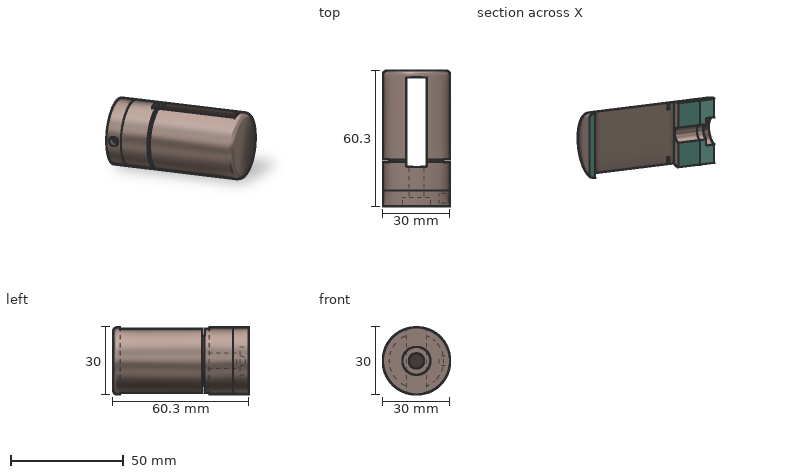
import cadquery as cq
import math

outer_diameter = 30.0
total_length = 60.34
cap_length = 7.0
rear_fillet = 2.0

counterbore_diameter = 12.5
counterbore_depth = 4.0
bore_diameter = 6.8

side_hole_diameter = 4.2
side_hole_depth = 5.0
side_hole_y = cap_length / 2

groove_diameter = 24.2
groove_width = 1.15
groove_start = 19.65

slot_width = 9.0
slot_front_tip = 17.45
rear_wall = 3.0
slot_rear_tip = total_length - rear_wall
slot_end_angle = 3.0


def disc(diameter, start, length):
    """Cylinder on the Y axis, from Y = start towards +Y."""
    return cq.Workplane("XZ", origin=(0, start, 0)).circle(diameter / 2).extrude(-length)


def side_hole():
    """Radial hole drilled inwards from the +X side of the cap."""
    return (
        cq.Workplane("YZ", origin=(outer_diameter / 2 - side_hole_depth, side_hole_y, 0))
        .circle(side_hole_diameter / 2)
        .extrude(side_hole_depth)
    )


def slot():
    """Six-sided slot whose two ends each come to a shallow point at X = 0."""
    half_width = slot_width / 2
    tip_height = half_width * math.tan(math.radians(slot_end_angle))
    front_corner = slot_front_tip + tip_height
    rear_corner = slot_rear_tip - tip_height
    return (
        cq.Workplane("XY")
        .moveTo(0, slot_front_tip)
        .lineTo(half_width, front_corner)
        .lineTo(half_width, rear_corner)
        .lineTo(0, slot_rear_tip)
        .lineTo(-half_width, rear_corner)
        .lineTo(-half_width, front_corner)
        .close()
        .extrude(outer_diameter / 2, both=True)
    )


def groove():
    """Ring of material removed around the barrel."""
    return disc(outer_diameter, groove_start, groove_width).cut(
        disc(groove_diameter, groove_start, groove_width)
    )


def make_cap():
    """Front disc with the counterbored bore and the side hole."""
    body = disc(outer_diameter, 0, cap_length)
    body = body.cut(disc(counterbore_diameter, 0, counterbore_depth))
    body = body.cut(disc(bore_diameter, 0, cap_length))
    return body.cut(side_hole())


def make_barrel():
    """Slotted and grooved cylinder behind the cap, rounded at its rear edge."""
    body = disc(outer_diameter, cap_length, total_length - cap_length)
    body = body.faces(">Y").edges().fillet(rear_fillet)
    body = body.cut(groove())
    body = body.cut(slot())
    bore_length = (slot_front_tip + slot_rear_tip) / 2 - cap_length
    return body.cut(disc(bore_diameter, cap_length, bore_length))


cap = make_cap()
barrel = make_barrel()

result = cq.Compound.makeCompound([cap.val(), barrel.val()])